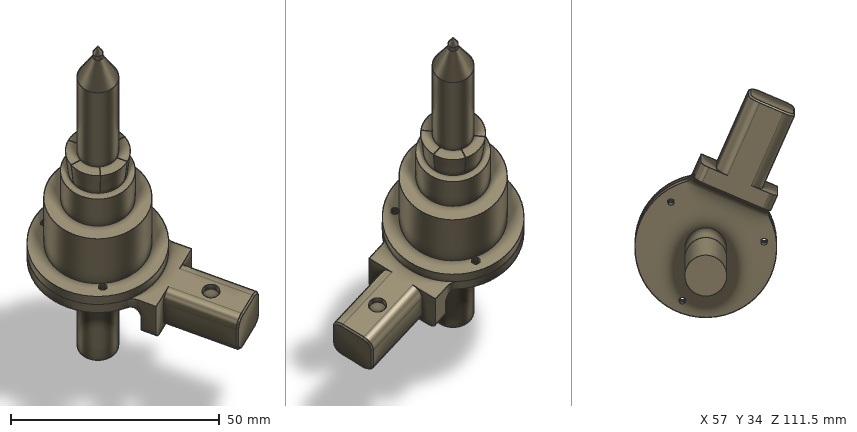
import cadquery as cq
import math

END_CAP_TOP = 20.7
PLATE_THICKNESS = 3.0
BRACKET_TOP = 35.2
PLATE_BOTTOM = BRACKET_TOP - PLATE_THICKNESS
FLANGE_TOP = BRACKET_TOP + PLATE_THICKNESS
BARREL_TOP = 55.0
NECK_TOP = 65.0
COLLET_TOP = 72.4
CONE_BOTTOM = 100.0
NIB_BOTTOM = 107.6
NIB_CONE_BOTTOM = 109.1
TIP = 111.5

PEN_RADIUS = 5.0
NIB_RADIUS = 1.2
COLLET_BASE_RADIUS = 7.1
COLLET_TOP_RADIUS = 7.8
NECK_RADIUS = 18.0 / 2
BARREL_RADIUS = 26.0 / 2
OVERALL_LENGTH = 57.0
FLANGE_RADIUS = 34.0 / 2

JAW_COUNT = 6
SLIT_WIDTH = 0.1
COLLET_RING_HEIGHT = 0.3

SCREW_COUNT = 3
SCREW_CIRCLE_RADIUS = 14.0
SCREW_CLEARANCE_DIAMETER = 2.0
SCREW_THREAD_DIAMETER = 1.6

BRACKET_HEIGHT = 12.2
BRACKET_BOTTOM = BRACKET_TOP - BRACKET_HEIGHT
BLOCK_START = 16.2
BLOCK_END = 20.2
BLOCK_WIDTH = 20.0
BLOCK_CORNER_RADIUS = 2.0
PLATE_FILLET = 3.0
ARM_END = OVERALL_LENGTH - FLANGE_RADIUS
ARM_WIDTH = 12.0
ARM_EDGE_RADIUS = 2.9
ARM_END_CHAMFER = 0.5
ARM_HOLE_X = 30.0
ARM_HOLE_DIAMETER = 4.2
ARM_HOLE_DEPTH = 1.8


def cylinder(radius, bottom, top):
    return cq.Workplane("XY").workplane(offset=bottom).circle(radius).extrude(top - bottom)


def box(x_start, x_end, width, bottom, top):
    """Box centred on the XZ plane."""
    return (
        cq.Workplane("XY")
        .workplane(offset=bottom)
        .center((x_start + x_end) / 2, 0)
        .rect(x_end - x_start, width)
        .extrude(top - bottom)
    )


def turned(profile):
    """Solid of revolution about Z from (radius, height) points."""
    return cq.Workplane("XZ").polyline(profile).close().revolve(360, (0, 0), (0, 1))


def pen_bore(bottom, top):
    return cylinder(PEN_RADIUS, bottom, top)


def screw_holes(diameter, bottom, top):
    return (
        cq.Workplane("XY")
        .workplane(offset=bottom)
        .polarArray(SCREW_CIRCLE_RADIUS, 180, 360, SCREW_COUNT)
        .circle(diameter / 2)
        .extrude(top - bottom)
    )


def make_end_cap():
    return cylinder(PEN_RADIUS, 0, END_CAP_TOP)


def make_pen():
    return turned([
        (0, END_CAP_TOP),
        (PEN_RADIUS, END_CAP_TOP),
        (PEN_RADIUS, CONE_BOTTOM),
        (NIB_RADIUS, NIB_BOTTOM),
        (NIB_RADIUS, NIB_CONE_BOTTOM),
        (0, TIP),
    ])


def make_collet():
    collet = turned([
        (PEN_RADIUS, NECK_TOP),
        (COLLET_BASE_RADIUS, NECK_TOP),
        (COLLET_TOP_RADIUS, COLLET_TOP),
        (PEN_RADIUS, COLLET_TOP),
    ])
    slit = box(0, COLLET_TOP_RADIUS, SLIT_WIDTH, NECK_TOP + COLLET_RING_HEIGHT, COLLET_TOP)
    for jaw in range(JAW_COUNT):
        collet = collet.cut(slit.rotate((0, 0, 0), (0, 0, 1), jaw * 360 / JAW_COUNT))
    return collet


def make_housing():
    flange = cylinder(FLANGE_RADIUS, BRACKET_TOP, FLANGE_TOP)
    barrel = cylinder(BARREL_RADIUS, FLANGE_TOP, BARREL_TOP)
    neck = cylinder(NECK_RADIUS, BARREL_TOP, NECK_TOP)
    housing = flange.union(barrel).union(neck)
    housing = housing.cut(pen_bore(BRACKET_TOP, NECK_TOP))
    return housing.cut(screw_holes(SCREW_CLEARANCE_DIAMETER, BRACKET_TOP, FLANGE_TOP))


def bracket_side_fillets():
    """Fillers that blend the round plate into both sides of the block."""
    half_width = BLOCK_WIDTH / 2
    centre_y = half_width + PLATE_FILLET
    centre_distance = FLANGE_RADIUS + PLATE_FILLET
    centre_x = math.sqrt(centre_distance**2 - centre_y**2)
    rim_x = centre_x * FLANGE_RADIUS / centre_distance
    rim_y = centre_y * FLANGE_RADIUS / centre_distance
    rim_angle = math.atan2(-centre_y, -centre_x)
    middle_angle = (rim_angle - math.pi / 2) / 2
    filler = (
        cq.Workplane("XY")
        .workplane(offset=BRACKET_BOTTOM)
        .moveTo(rim_x, rim_y)
        .threePointArc(
            (
                centre_x + PLATE_FILLET * math.cos(middle_angle),
                centre_y + PLATE_FILLET * math.sin(middle_angle),
            ),
            (centre_x, half_width),
        )
        .lineTo(centre_x, 0)
        .lineTo(rim_x, 0)
        .close()
        .extrude(BRACKET_HEIGHT)
    )
    return filler.union(filler.mirror("XZ"))


def space_under_plate():
    """Space below the plate, with the corner to the block rounded."""
    full_width = 2 * FLANGE_RADIUS
    return (
        box(-FLANGE_RADIUS, BLOCK_START, full_width, BRACKET_BOTTOM, PLATE_BOTTOM)
        .edges(">X and >Z")
        .fillet(PLATE_FILLET)
    )


def make_arm():
    return (
        box(BLOCK_END, ARM_END, ARM_WIDTH, BRACKET_BOTTOM, BRACKET_TOP)
        .edges("|X")
        .fillet(ARM_EDGE_RADIUS)
        .faces(">X")
        .chamfer(ARM_END_CHAMFER)
    )


def make_bracket():
    block = (
        box(0, BLOCK_END, BLOCK_WIDTH, BRACKET_BOTTOM, BRACKET_TOP)
        .edges("|X and <Z")
        .fillet(BLOCK_CORNER_RADIUS)
    )
    plate = cylinder(FLANGE_RADIUS, PLATE_BOTTOM, BRACKET_TOP)
    side_fillets = bracket_side_fillets()
    body = block.union(side_fillets).cut(space_under_plate()).union(plate).union(make_arm())
    body = body.cut(pen_bore(PLATE_BOTTOM, BRACKET_TOP))
    body = body.cut(screw_holes(SCREW_THREAD_DIAMETER, PLATE_BOTTOM, BRACKET_TOP))
    arm_hole = cylinder(ARM_HOLE_DIAMETER / 2, BRACKET_TOP - ARM_HOLE_DEPTH, BRACKET_TOP)
    return body.cut(arm_hole.translate((ARM_HOLE_X, 0, 0)))


end_cap = make_end_cap()
pen = make_pen()
collet = make_collet()
housing = make_housing()
bracket = make_bracket()

result = cq.Compound.makeCompound([
    end_cap.val(),
    pen.val(),
    collet.val(),
    housing.val(),
    bracket.val(),
])